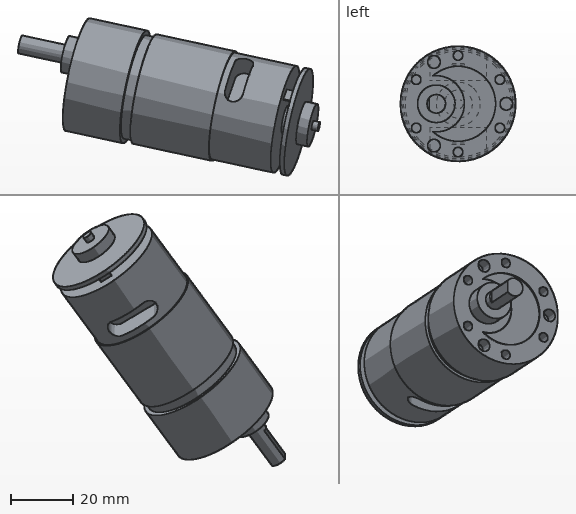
import cadquery as cq
import math

OVERALL_LENGTH = 101.0
FLAT_END = 12.0
BOSS_START = 15.0
GEARBOX_START = 21.0
NECK_START = 40.0
SLEEVE_START = 43.3
CAN_START = 69.4
CAN_END = 89.8
DISC_START = 92.8
DISC_END = 94.3
WHEEL_START = 95.3
WHEEL_END = 99.0

SHAFT_DIAMETER = 6.0
BOSS_DIAMETER = 12.0
GEARBOX_DIAMETER = 37.0
NECK_DIAMETER = 33.9
SLEEVE_DIAMETER = 36.0
CAN_DIAMETER = 35.0
BEARING_DIAMETER = 9.0
WHEEL_DIAMETER = 14.0
REAR_SHAFT_DIAMETER = 3.0

SHAFT_OFFSET = 7.0
FLAT_DEPTH = 0.7

RECESS_DIAMETER = 2 * BOSS_DIAMETER
ISLAND_DIAMETER = 18.0
RECESS_DEPTH = 0.5
HOLE_CIRCLE_RADIUS = 15.5
HOLE_DEPTH = 5.0
SMALL_HOLE_DIAMETER = 3.0
SMALL_HOLE_ANGLES = (30, 90, 150, 210, 270, 330)
LARGE_HOLE_DIAMETER = 4.0
LARGE_HOLE_ANGLES = (60, 180, 300)

SLOT_CENTER = 74.5
SLOT_WIDTH = 6.0
SLOT_LENGTH = 18.0
SLOT_FLOOR = 7.5
TERMINAL_WIDTH = 4.0
TERMINAL_THICKNESS = 0.5
TERMINAL_HEIGHT = 12.7


def cylinder(start, end, diameter, y=0.0, z=0.0):
    """Cylinder parallel to X between two stations."""
    return cq.Workplane("YZ", origin=(start, y, z)).circle(diameter / 2).extrude(end - start)


def output_shaft():
    """Offset output shaft with its boss and a flat on the +Y side."""
    shaft = cylinder(0, GEARBOX_START, SHAFT_DIAMETER, SHAFT_OFFSET)
    flat_y = SHAFT_OFFSET + SHAFT_DIAMETER / 2 - FLAT_DEPTH
    flat_cut = cq.Workplane("XY").box(
        FLAT_END, SHAFT_DIAMETER, SHAFT_DIAMETER, centered=(False, False, True)
    ).translate((0, flat_y, 0))
    boss = cylinder(BOSS_START, GEARBOX_START, BOSS_DIAMETER, SHAFT_OFFSET)
    return shaft.cut(flat_cut).union(boss)


def face_holes(diameter, angles):
    """Blind holes in the gearbox face; angles are measured from +Y toward +Z."""
    centers = []
    for angle in angles:
        turn = math.radians(angle)
        centers.append((HOLE_CIRCLE_RADIUS * math.cos(turn), HOLE_CIRCLE_RADIUS * math.sin(turn)))
    face = cq.Workplane("YZ", origin=(GEARBOX_START, 0, 0))
    return face.pushPoints(centers).circle(diameter / 2).extrude(HOLE_DEPTH)


def gearbox():
    """Gearbox housing with a crescent recess and mounting holes."""
    body = cylinder(GEARBOX_START, NECK_START, GEARBOX_DIAMETER)
    recess_end = GEARBOX_START + RECESS_DEPTH
    island = cylinder(GEARBOX_START, recess_end, ISLAND_DIAMETER, SHAFT_OFFSET)
    crescent = cylinder(GEARBOX_START, recess_end, RECESS_DIAMETER).cut(island)
    body = body.cut(crescent)
    body = body.cut(face_holes(SMALL_HOLE_DIAMETER, SMALL_HOLE_ANGLES))
    return body.cut(face_holes(LARGE_HOLE_DIAMETER, LARGE_HOLE_ANGLES))


def motor_can():
    """Motor can with a cooling slot on the top and on the bottom."""
    can = cylinder(CAN_START, CAN_END, CAN_DIAMETER)
    slot = (
        cq.Workplane("XY", origin=(SLOT_CENTER, 0, SLOT_FLOOR))
        .slot2D(SLOT_LENGTH, SLOT_WIDTH, 90)
        .extrude(CAN_DIAMETER / 2 - SLOT_FLOOR)
    )
    return can.cut(slot).cut(slot.mirror("XY"))


def terminal(z):
    """Thin tab joining the motor can to the rear disc."""
    length = DISC_START - CAN_END
    tab = cq.Workplane("XY").box(length, TERMINAL_WIDTH, TERMINAL_THICKNESS, centered=(False, True, True))
    return tab.translate((CAN_END, 0, z))


def rear_end():
    """Rear bearing, terminals, disc, wheel and rear shaft."""
    rear = cylinder(CAN_END, DISC_START, BEARING_DIAMETER)
    for z in (-TERMINAL_HEIGHT, TERMINAL_HEIGHT):
        rear = rear.union(terminal(z))
    rear = rear.union(cylinder(DISC_START, DISC_END, CAN_DIAMETER))
    rear = rear.union(cylinder(WHEEL_START, WHEEL_END, WHEEL_DIAMETER))
    return rear.union(cylinder(DISC_END, OVERALL_LENGTH, REAR_SHAFT_DIAMETER))


result = (
    output_shaft()
    .union(gearbox())
    .union(cylinder(NECK_START, SLEEVE_START, NECK_DIAMETER))
    .union(cylinder(SLEEVE_START, CAN_START, SLEEVE_DIAMETER))
    .union(motor_can())
    .union(rear_end())
)